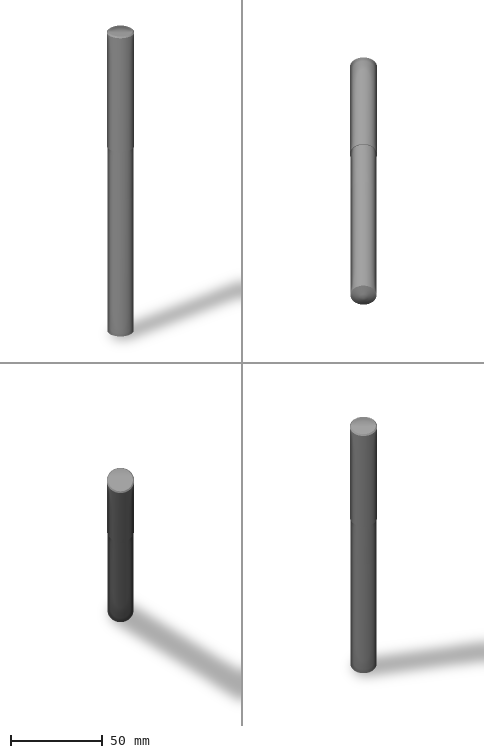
import cadquery as cq
import math

total_length = 185.0
shank_diameter = 15.0
shank_length = 70.0
shank_chamfer = 0.7

drill_diameter = 14.2
head_length = 85.5
point_angle = 140.0

shank_radius = shank_diameter / 2
drill_radius = drill_diameter / 2
tip_height = drill_radius / math.tan(math.radians(point_angle / 2))
neck_length = total_length - shank_length - head_length


def make_cutting_head():
    """Plain cylinder ending in a conical point at the origin."""
    return (
        cq.Workplane("XZ")
        .lineTo(drill_radius, tip_height)
        .lineTo(drill_radius, head_length)
        .lineTo(0, head_length)
        .close()
        .revolve(360, (0, 0, 0), (0, 1, 0))
    )


def make_holder():
    """Neck above the cutting head, stepping out to the chamfered shank."""
    neck = cq.Workplane("XY").workplane(offset=head_length).circle(drill_radius).extrude(neck_length)
    shank = (
        cq.Workplane("XY")
        .workplane(offset=head_length + neck_length)
        .circle(shank_radius)
        .extrude(shank_length)
        .faces(">Z")
        .chamfer(shank_chamfer)
    )
    return neck.union(shank)


cutting_head = make_cutting_head()
holder = make_holder()

result = cq.Compound.makeCompound([cutting_head.val(), holder.val()])